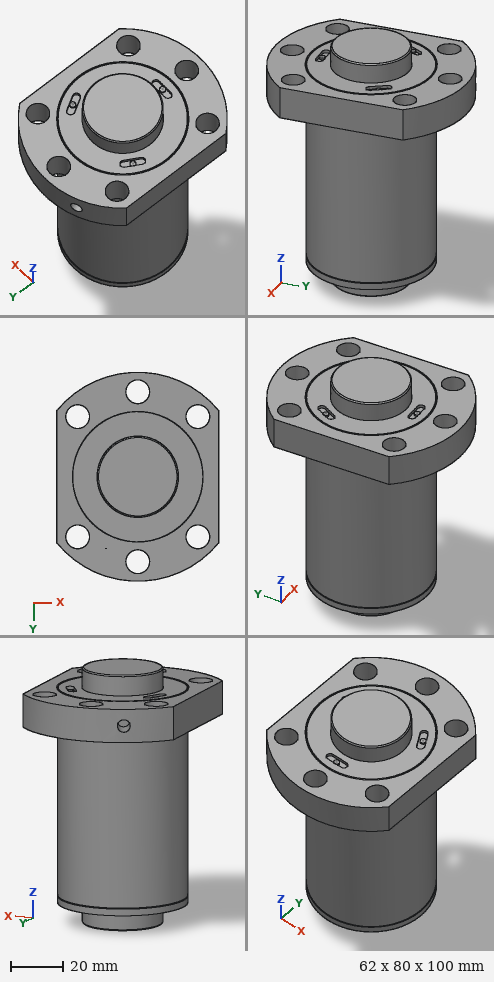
import cadquery as cq

shaft_length = 100.0
shaft_diameter = 31.0
shaft_chamfer = 0.5
nut_length = 84.0
nut_diameter = 50.0
nut_top = nut_length / 2
nut_bottom = -nut_length / 2

flange_diameter = 80.0
flange_thickness = 13.0
flange_width = 62.0

bolt_circle_radius = 32.5
bolt_hole_diameter = 9.0
bolt_angles = (45, 90, 135, 225, 270, 315)
port_diameter = 4.9
port_depth = 10.0
port_angle = 112.5

cap_thickness = 2.8
shaft_bore_diameter = 31.2
top_seam_width = 0.6
top_seam_depth = 0.3
side_seam_width = 0.4
side_seam_depth = 0.2

fastener_angles = (30, 150, 270)
slot_radius = 19.9
slot_length = 10.0
slot_width = 3.1
slot_depth = 1.2
pin_radius = 20.2
pin_diameter = 2.4
pin_height = 0.7
pin_tip_diameter = 0.5
pin_crown_rise = 0.1


def cylinder(diameter, bottom, height):
    return cq.Workplane("XY").workplane(offset=bottom).circle(diameter / 2).extrude(height)


def make_shaft():
    return cylinder(shaft_diameter, -shaft_length / 2, shaft_length).edges().chamfer(shaft_chamfer)


def make_flange():
    bottom = nut_top - flange_thickness
    disc = cylinder(flange_diameter, bottom, flange_thickness)
    flats = (
        cq.Workplane("XY")
        .workplane(offset=bottom)
        .rect(flange_width, flange_diameter)
        .extrude(flange_thickness)
    )
    return disc.intersect(flats)


def bolt_holes():
    bottom = nut_top - flange_thickness
    hole = cylinder(bolt_hole_diameter, bottom, flange_thickness).translate((bolt_circle_radius, 0, 0))
    holes = cq.Workplane("XY")
    for angle in bolt_angles:
        holes = holes.add(hole.rotate((0, 0, 0), (0, 0, 1), angle))
    return holes.combine()


def lubrication_port():
    outer_radius = flange_diameter / 2
    return (
        cq.Workplane("YZ")
        .workplane(offset=outer_radius - port_depth)
        .center(0, nut_top - flange_thickness / 2)
        .circle(port_diameter / 2)
        .extrude(port_depth)
        .rotate((0, 0, 0), (0, 0, 1), port_angle)
    )


def revolved(profile):
    return cq.Workplane("XZ").polyline(profile).close().revolve(360, (0, 0, 0), (0, 1, 0))


def top_seam():
    radius = nut_diameter / 2
    half = top_seam_width / 2
    return revolved(
        [(radius - half, nut_top), (radius + half, nut_top), (radius, nut_top - top_seam_depth)]
    )


def side_seam():
    radius = nut_diameter / 2
    half = side_seam_width / 2
    seam_z = nut_bottom + cap_thickness
    return revolved(
        [(radius, seam_z - half), (radius, seam_z + half), (radius - side_seam_depth, seam_z)]
    )


def shaft_clearance(bottom):
    outer = cylinder(shaft_bore_diameter, bottom, cap_thickness)
    return outer.cut(cylinder(shaft_diameter, bottom, cap_thickness))


def fastener_slot(angle):
    return (
        cq.Workplane("XY")
        .workplane(offset=nut_top - slot_depth)
        .center(slot_radius, 0)
        .slot2D(slot_length, slot_width, 90)
        .extrude(slot_depth)
        .rotate((0, 0, 0), (0, 0, 1), angle)
    )


def fastener_pin(angle):
    bottom = nut_top - slot_depth
    crown_bottom = bottom + pin_height
    profile = [
        (0, bottom),
        (pin_diameter / 2, bottom),
        (pin_diameter / 2, crown_bottom),
        (pin_tip_diameter / 2, crown_bottom + pin_crown_rise),
        (0, crown_bottom + pin_crown_rise),
    ]
    return revolved(profile).translate((pin_radius, 0, 0)).rotate((0, 0, 0), (0, 0, 1), angle)


nut = cylinder(nut_diameter, nut_bottom, nut_length).union(make_flange())
nut = nut.cut(bolt_holes()).cut(lubrication_port())
nut = nut.cut(top_seam()).cut(side_seam())
result = nut.union(make_shaft())
for clearance_bottom in (nut_bottom, nut_top - cap_thickness):
    result = result.cut(shaft_clearance(clearance_bottom))
for fastener_angle in fastener_angles:
    result = result.cut(fastener_slot(fastener_angle)).union(fastener_pin(fastener_angle))